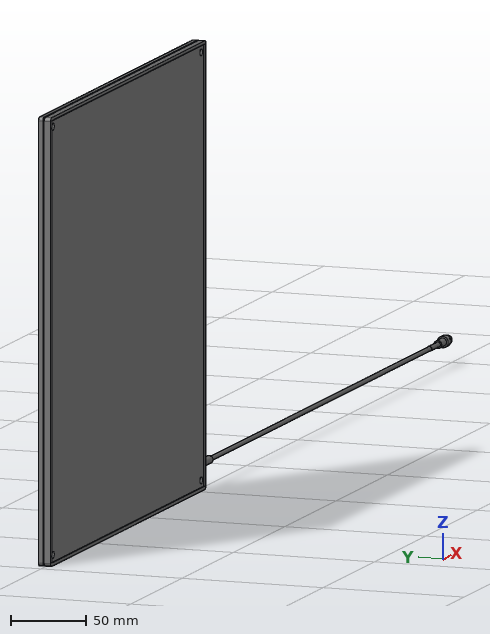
import cadquery as cq

total_length = 784.0
total_depth = 9.5

panel_width = 303.0
panel_height = 304.0
panel_depth = 9.0
corner_radius = 2.0

back_depth = 3.0
groove_width = 1.0
groove_depth = 1.0

rim_width = 2.0
recess_depth = 1.0

hole_diameter = 2.0
countersink_diameter = 5.0
hole_inset = 7.0

cable_diameter = 3.0
cable_height = 17.0
relief_diameter = 5.5
relief_length = 15.0
relief_embed = 2.0
sleeve_diameter = 3.5
sleeve_length = 16.5
grip_diameter = 5.5
grip_length = 9.5
nut_diameter = 8.0
nut_length = 5.5
thread_diameter = 6.0
thread_length = 4.0
tip_diameter = 5.0
tip_length = 2.0

panel_front = total_depth - panel_depth
cable_y = nut_diameter / 2


def plate(inset, front, depth):
    """Plate inset from the panel outline on all sides, reaching from Y = front to front + depth."""
    block = cq.Workplane("XY").box(panel_width - 2 * inset, depth, panel_height - 2 * inset)
    return block.translate((panel_width / 2, front + depth / 2, panel_height / 2))


def make_panel():
    panel = plate(0, panel_front, panel_depth)
    panel = panel.edges("|Y").fillet(corner_radius)
    return panel.cut(plate(rim_width, panel_front, recess_depth))


def cut_side_groove(panel):
    groove_front = total_depth - back_depth - groove_width
    core = plate(groove_depth, groove_front, groove_width).edges("|Y").fillet(corner_radius)
    return panel.cut(plate(0, groove_front, groove_width).cut(core))


def cut_mounting_holes(panel):
    hole_radius = hole_diameter / 2
    countersink_radius = countersink_diameter / 2
    countersink_depth = countersink_radius - hole_radius
    floor_y = panel_front + recess_depth
    into_panel = cq.Vector(0, 1, 0)
    for x in (hole_inset, panel_width - hole_inset):
        for z in (hole_inset, panel_height - hole_inset):
            start = cq.Vector(x, floor_y, z)
            hole = cq.Solid.makeCylinder(hole_radius, panel_depth, start, into_panel)
            countersink = cq.Solid.makeCone(
                countersink_radius, hole_radius, countersink_depth, start, into_panel
            )
            panel = panel.cut(cq.Workplane(hole)).cut(cq.Workplane(countersink))
    return panel


def round_bar(start, end, diameter):
    """Round bar on the cable axis between two X positions."""
    return cq.Workplane("YZ", origin=(start, cable_y, cable_height)).circle(diameter / 2).extrude(end - start)


def make_cable():
    relief_start = panel_width - relief_embed
    relief_end = panel_width + relief_length
    cable = round_bar(relief_start, relief_end, relief_diameter)
    plug_sections = [
        (tip_length, tip_diameter),
        (thread_length, thread_diameter),
        (nut_length, nut_diameter),
        (grip_length, grip_diameter),
        (sleeve_length, sleeve_diameter),
    ]
    end = total_length
    for length, diameter in plug_sections:
        cable = cable.union(round_bar(end - length, end, diameter))
        end -= length
    return cable.union(round_bar(relief_end, end, cable_diameter))


result = cut_mounting_holes(cut_side_groove(make_panel())).union(make_cable())